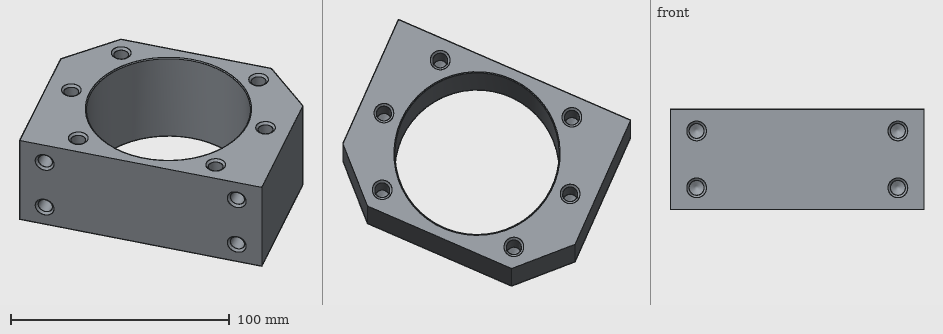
import cadquery as cq
import math

LENGTH = 116.0
WIDTH = 85.0
HEIGHT = 46.0
CORNER_CUT = 22.0

BORE_DIAMETER = 75.0
BORE_CHAMFER = 0.5

HOLE_DIAMETER = 6.8
MOUTH_DIAMETER = 9.0
MOUTH_DEPTH = (MOUTH_DIAMETER - HOLE_DIAMETER) / 2
HOLE_DEPTH = 20.0
DRILL_POINT_ANGLE = 118.0

HOLE_CIRCLE_DIAMETER = 93.0
HOLE_ANGLES = (0, 45, 135, 180, 225, 315)

FRONT_SPACING_X = 92.0
FRONT_SPACING_Z = 26.0


def make_block():
    """Rectangular block with both rear vertical corners cut at 45 degrees."""
    block = cq.Workplane("XY").box(LENGTH, WIDTH, HEIGHT, centered=(True, True, False))
    return block.faces(">Y").edges("|Z").chamfer(CORNER_CUT)


def make_bore():
    """Bore cutter, flared at both ends by the edge chamfers."""
    radius = BORE_DIAMETER / 2
    flared_radius = radius + BORE_CHAMFER
    profile = [
        (0, 0),
        (flared_radius, 0),
        (radius, BORE_CHAMFER),
        (radius, HEIGHT - BORE_CHAMFER),
        (flared_radius, HEIGHT),
        (0, HEIGHT),
    ]
    return cq.Workplane("XZ").polyline(profile).close().revolve(360, (0, 0), (0, 1))


def make_hole():
    """Hole cutter with its mouth at the origin, running down along -Z."""
    radius = HOLE_DIAMETER / 2
    point_length = radius / math.tan(math.radians(DRILL_POINT_ANGLE / 2))
    profile = [
        (0, 0),
        (MOUTH_DIAMETER / 2, 0),
        (radius, -MOUTH_DEPTH),
        (radius, -HOLE_DEPTH),
        (0, -HOLE_DEPTH - point_length),
    ]
    return cq.Workplane("XZ").polyline(profile).close().revolve(360, (0, 0), (0, 1))


def cut_top_holes(body):
    circle_radius = HOLE_CIRCLE_DIAMETER / 2
    for angle in HOLE_ANGLES:
        x = circle_radius * math.cos(math.radians(angle))
        y = circle_radius * math.sin(math.radians(angle))
        body = body.cut(make_hole().translate((x, y, HEIGHT)))
    return body


def cut_front_holes(body):
    front_hole = make_hole().rotate((0, 0, 0), (1, 0, 0), 90)
    for side_x in (-1, 1):
        for side_z in (-1, 1):
            x = side_x * FRONT_SPACING_X / 2
            z = HEIGHT / 2 + side_z * FRONT_SPACING_Z / 2
            body = body.cut(front_hole.translate((x, -WIDTH / 2, z)))
    return body


result = make_block().cut(make_bore())
result = cut_top_holes(result)
result = cut_front_holes(result)